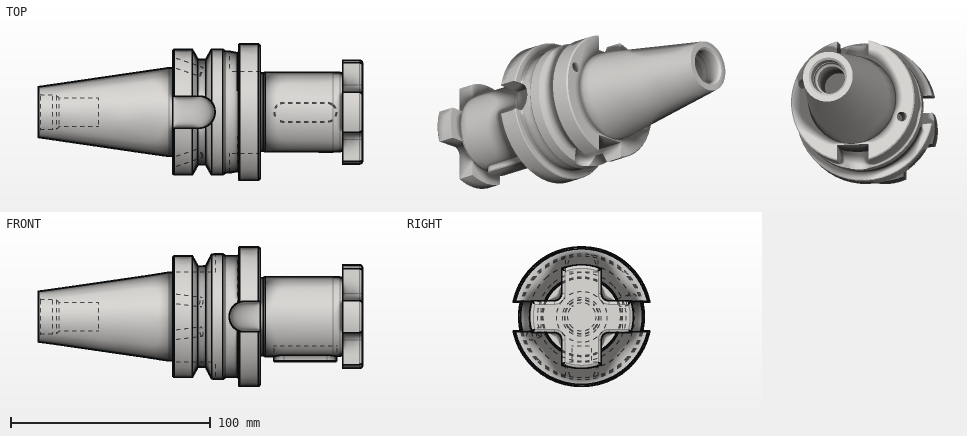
import cadquery as cq
import math


taper_length = 65.4
gauge_radius = 44.45 / 2
taper_ratio = 7 / 24
taper_end_radius = gauge_radius - taper_length * taper_ratio / 2

flange_start = 2.0
flange_end = 27.0
flange_radius = 31.5
flange_chamfer = 0.6
groove_center = 16.5
groove_floor_radius = 26.5
groove_floor_width = 4.0
groove_slope_length = (flange_radius - groove_floor_radius) * math.tan(math.radians(30))

neck_radius = 30.5
neck_start = flange_end + flange_radius - neck_radius
collar_start = 35.0
collar_end = 45.8
collar_radius = 35.0
collar_front_chamfer = 1.0
collar_rear_chamfer = 0.4
neck_fillet = 0.7

arbor_end = 87.0
arbor_radius = 20.0
arbor_chamfer_length = 1.4
arbor_chamfer_depth = 0.5
lead_start = 82.0
lead_radius = 19.85
relief_radius = 19.6
relief_end = 47.3
relief_ramp_end = 48.3

flange_slot_width = 16.1
flange_slot_floor = 22.5
flange_slot_end = 23.1

collar_slot_width = 15.4
collar_slot_floor = 20.5
collar_slot_start = 30.2

bore_radius = 8.7
bore_mouth_radius = 9.7
bore_mouth_depth = 1.0
bore_depth = 7.0
step_radius = 8.4
step_depth = 9.0
thread_radius = 7.1
thread_start_depth = 10.3
thread_end_depth = 30.0

port_radius = 2.4
port_circle_radius = 26.7
port_angle = 20.0
port_tilt = 20.0
port_depth = 15.0

key_width = 10.0
key_start = 52.4
key_length = 31.6
key_height = 8.0
key_outer_face = 22.5
key_chamfer = 0.5

screw_length = 10.0
screw_radius = 26.0
screw_arm_y_width = 16.0
screw_arm_z_width = 20.0
screw_corner_fillet = 3.6
screw_fillet = 1.7


def revolve_about_x(points):
    """Revolve an (x, radius) outline about the X axis."""
    profile = cq.Workplane("XY").polyline(points).close()
    return profile.revolve(360, (0, 0, 0), (1, 0, 0))


def ring_selector(x, radius):
    """Select the edges whose extents fit tightly around a circle about the X axis."""
    margin = 0.2
    reach = radius + margin
    return cq.selectors.BoxSelector((x - margin, -reach, -reach), (x + margin, reach, reach), boundingbox=True)


def neck_corner_edges():
    """Select the two inner corner circles where the neck meets the flange and the collar."""
    flange_side = ring_selector(neck_start, neck_radius)
    collar_side = ring_selector(collar_start, neck_radius)
    return flange_side + collar_side


def holder_blank():
    groove_left = groove_center - groove_floor_width / 2
    groove_right = groove_center + groove_floor_width / 2
    blank = revolve_about_x([
        (-taper_length, 0),
        (-taper_length, taper_end_radius),
        (0, gauge_radius),
        (flange_start, gauge_radius),
        (flange_start, flange_radius - flange_chamfer),
        (flange_start + flange_chamfer, flange_radius),
        (groove_left - groove_slope_length, flange_radius),
        (groove_left, groove_floor_radius),
        (groove_right, groove_floor_radius),
        (groove_right + groove_slope_length, flange_radius),
        (flange_end, flange_radius),
        (neck_start, neck_radius),
        (collar_start, neck_radius),
        (collar_start, collar_radius - collar_rear_chamfer),
        (collar_start + collar_rear_chamfer, collar_radius),
        (collar_end - collar_front_chamfer, collar_radius),
        (collar_end, collar_radius - collar_front_chamfer),
        (collar_end, relief_radius),
        (relief_end, relief_radius),
        (relief_ramp_end, arbor_radius),
        (lead_start, arbor_radius),
        (arbor_end - arbor_chamfer_length, lead_radius),
        (arbor_end, lead_radius - arbor_chamfer_depth),
        (arbor_end, 0),
    ])
    return blank.edges(neck_corner_edges()).fillet(neck_fillet)


def flange_slot_cutter():
    """Slot at +Z, open at the rear face of the flange and round at its front end."""
    end_radius = flange_slot_width / 2
    slot_length = flange_slot_end - end_radius - flange_start
    outline = (
        cq.Workplane("XY", origin=(flange_start, 0, flange_slot_floor))
        .moveTo(0, -end_radius)
        .lineTo(slot_length, -end_radius)
        .threePointArc((slot_length + end_radius, 0), (slot_length, end_radius))
        .lineTo(0, end_radius)
        .close()
    )
    return outline.extrude(collar_radius - flange_slot_floor)


def collar_slot_cutter():
    """Slot at +Y, open at the front face of the collar and round at its rear end."""
    end_radius = collar_slot_width / 2
    arc_center = collar_slot_start + end_radius
    outline = (
        cq.Workplane("XZ", origin=(0, collar_slot_floor, 0))
        .moveTo(collar_end, -end_radius)
        .lineTo(arc_center, -end_radius)
        .threePointArc((collar_slot_start, 0), (arc_center, end_radius))
        .lineTo(collar_end, end_radius)
        .close()
    )
    return outline.extrude(collar_slot_floor - collar_radius)


def pull_stud_bore():
    return revolve_about_x([
        (-taper_length, 0),
        (-taper_length, bore_mouth_radius),
        (-taper_length + bore_mouth_depth, bore_radius),
        (-taper_length + bore_depth, bore_radius),
        (-taper_length + bore_depth, step_radius),
        (-taper_length + step_depth, step_radius),
        (-taper_length + thread_start_depth, thread_radius),
        (-taper_length + thread_end_depth, thread_radius),
        (-taper_length + thread_end_depth, 0),
    ])


def flange_port():
    """Blind hole beside +Y that leans toward the spindle axis as it goes in."""
    mouth = (flange_start, port_circle_radius, 0)
    hole = cq.Workplane("YZ", origin=mouth).circle(port_radius).extrude(port_depth, both=True)
    leaning_hole = hole.rotate(mouth, (flange_start, port_circle_radius, 1), -port_tilt)
    return leaning_hole.rotate((0, 0, 0), (1, 0, 0), port_angle)


def make_holder():
    holder = holder_blank().cut(pull_stud_bore())
    for turn in (0, 180):
        for cutter in (flange_slot_cutter(), collar_slot_cutter(), flange_port()):
            holder = holder.cut(cutter.rotate((0, 0, 0), (1, 0, 0), turn))
    return holder


def key_block():
    """Round-ended key on the -Z side of the arbor."""
    center = (key_start + key_length / 2, 0, -key_outer_face)
    return cq.Workplane("XY", origin=center).slot2D(key_length, key_width).extrude(key_height)


def make_key():
    return key_block().faces("<Z").chamfer(key_chamfer)


def make_screw_head():
    face = cq.Workplane("YZ", origin=(arbor_end, 0, 0))
    span = 2 * screw_radius
    upright = face.rect(screw_arm_z_width, span).extrude(screw_length)
    crosswise = face.rect(span, screw_arm_y_width).extrude(screw_length)
    cross = upright.union(crosswise)
    corner_box = cq.selectors.BoxSelector(
        (arbor_end - 1, -screw_radius + 1, -screw_radius + 1),
        (arbor_end + screw_length + 1, screw_radius - 1, screw_radius - 1),
    )
    cross = cross.edges("|X").edges(corner_box).fillet(screw_corner_fillet)
    disc = face.circle(screw_radius).extrude(screw_length)
    return cross.intersect(disc).faces(">X").edges().fillet(screw_fillet)


holder = make_holder().cut(key_block())
key = make_key()
screw_head = make_screw_head()

result = cq.Compound.makeCompound([holder.val(), key.val(), screw_head.val()])